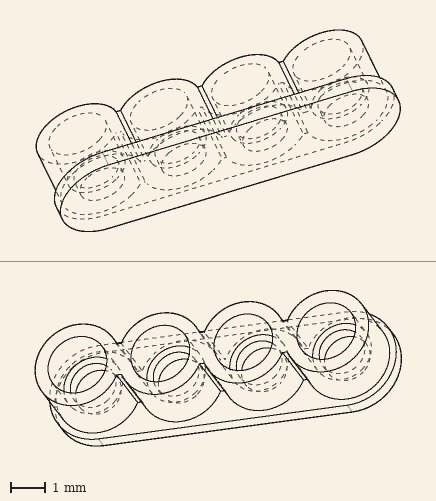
import cadquery as cq

socket_count = 4
pitch = 2.54
row_length = (socket_count - 1) * pitch

plate_thickness = 0.5
plate_height = 3.0

barrel_length = 2.0
barrel_diameter = 2.6
web_height = 1.0

mouth_diameter = 1.8
mouth_depth = 1.5
seat_diameter = 1.4
bore_depth = barrel_length

socket_positions = [i * pitch - row_length / 2 for i in range(socket_count)]


def plane_at(x):
    """Sketch plane facing +X: its first axis is Y and its second is Z."""
    return cq.Workplane("YZ", origin=(x, 0, 0))


def cylinder(y, diameter, length):
    """Cylinder at one socket, running from the open -X face toward +X."""
    return plane_at(0).center(y, 0).circle(diameter / 2).extrude(length)


def make_plate():
    """Round-ended plate whose end arcs are centred on the outer sockets."""
    return plane_at(barrel_length).slot2D(row_length + plate_height, plate_height).extrude(plate_thickness)


def make_web():
    """Bar along the row that fills the notches between neighbouring barrels."""
    return plane_at(0).rect(row_length, web_height).extrude(barrel_length)


def make_bore(y):
    """Wide mouth stepping down to a narrower seat."""
    mouth = cylinder(y, mouth_diameter, mouth_depth)
    return mouth.union(cylinder(y, seat_diameter, bore_depth))


body = make_plate().union(make_web())
for position in socket_positions:
    body = body.union(cylinder(position, barrel_diameter, barrel_length))
for position in socket_positions:
    body = body.cut(make_bore(position))

result = body